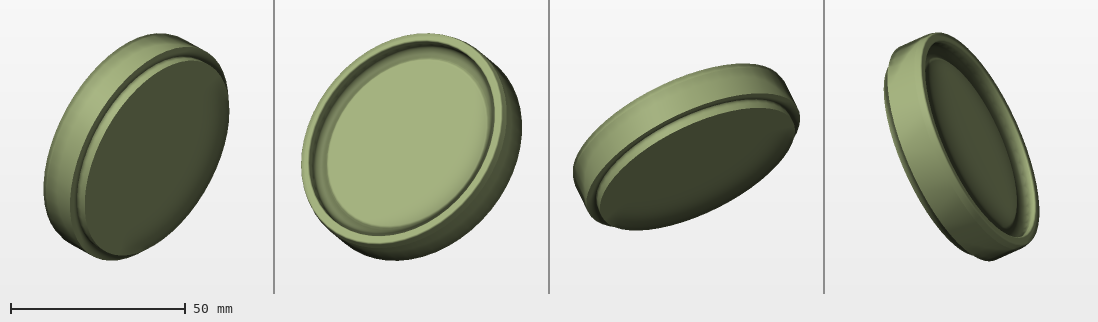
import cadquery as cq
import math

total_length = 14.0
spigot_length = 3.0
shoulder_x = total_length - spigot_length
taper_end_x = 2.0
disc_x = 3.5
groove_floor_x = 4.55
groove_wall_foot_x = 3.6

body_radius = 33.45
spigot_radius = 61.0 / 2
groove_outer_radius = 30.4
groove_wall_foot_radius = 30.25
groove_floor_radius = 28.35
disc_flat_radius = 25.75

rim_fillet = 0.5
taper_angle = math.radians(15)
taper_front_radius = body_radius - taper_end_x * math.tan(taper_angle)
lip_radius = groove_outer_radius + rim_fillet

disc_edge_fillet = 1.1
disc_edge_angle = math.radians(45)

wall_foot_angle = math.radians(60)


def arc_point(center_x, center_radius, arc_radius, angle):
    """Point on a convex profile arc, at an angle from the front direction, positive outward."""
    return (
        center_x - arc_radius * math.cos(angle),
        center_radius + arc_radius * math.sin(angle),
    )


def disc_edge_point(angle):
    return arc_point(disc_x + disc_edge_fillet, disc_flat_radius, disc_edge_fillet, angle)


def lip_point(angle):
    return arc_point(rim_fillet, lip_radius, rim_fillet, angle)


groove_profile = [
    disc_edge_point(disc_edge_angle),
    (groove_floor_x, groove_floor_radius),
    (groove_wall_foot_x, groove_wall_foot_radius),
    lip_point(-math.pi / 2),
]
groove_directions = [
    (math.sin(disc_edge_angle), math.cos(disc_edge_angle)),
    (0, 1),
    (-math.sin(wall_foot_angle), math.cos(wall_foot_angle)),
    (-1, 0),
]

half_section = (
    cq.Workplane("XY")
    .moveTo(disc_x, 0)
    .lineTo(disc_x, disc_flat_radius)
    .threePointArc(disc_edge_point(disc_edge_angle / 2), groove_profile[0])
    .spline(groove_profile[1:], tangents=groove_directions, includeCurrent=True)
    .threePointArc(lip_point(-math.pi / 4), lip_point(0))
    .lineTo(0, taper_front_radius)
    .lineTo(taper_end_x, body_radius)
    .lineTo(shoulder_x, body_radius)
    .lineTo(shoulder_x, spigot_radius)
    .lineTo(total_length, spigot_radius)
    .lineTo(total_length, 0)
    .close()
)

body = half_section.revolve(360, (0, 0, 0), (1, 0, 0))
rim_outer_edge = cq.selectors.RadiusNthSelector(-1)
result = body.faces("<X").edges(rim_outer_edge).fillet(rim_fillet)